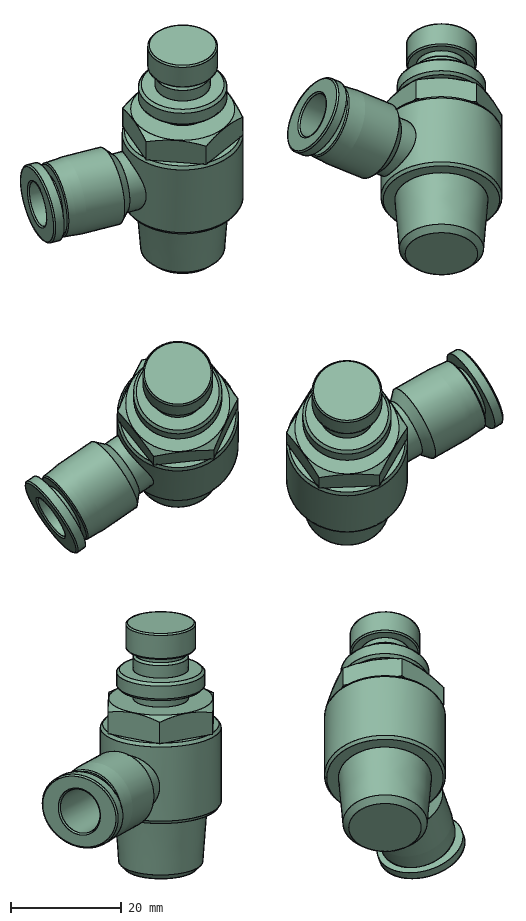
import cadquery as cq

OVERALL_HEIGHT = 47.0
BODY_BOTTOM = 12.05
BODY_TOP = 27.5
HEX_TOP = 32.5
NUT_BOTTOM = 34.6
NUT_TOP = 38.05
SHANK_TOP = 40.9
KNOB_BOTTOM = 42.0

TAPER_TIP_RADIUS = 6.6
TAPER_SMALL_RADIUS = 7.65
TAPER_LARGE_RADIUS = 8.45
TAPER_TIP_HEIGHT = 1.15

BODY_RADIUS = 11.0
BODY_EDGE_HEIGHT = 0.6
BODY_EDGE_DEPTH = 0.4
HEX_CORNER_DIAMETER = 2 * BODY_RADIUS
HEX_TOP_RADIUS = 9.45
HEX_CORNER_DROP = 0.85

SHANK_RADIUS = 5.05
SCREW_NECK_RADIUS = 4.6
NUT_RADIUS = 8.05
NUT_CHAMFER = 0.5
KNOB_RADIUS = 6.35
KNOB_CHAMFER = 0.3
SHANK_CHAMFER = SHANK_RADIUS - SCREW_NECK_RADIUS

PORT_AXIS_HEIGHT = 19.2
PORT_NECK_RADIUS = 5.5
PORT_NECK_END = 12.75
PORT_RADIUS = 7.25
PORT_SHOULDER_END = PORT_NECK_END + PORT_RADIUS - PORT_NECK_RADIUS
PORT_STRAIGHT_END = 21.95
PORT_TAPER_END = 24.0
PORT_TAPER_RADIUS = 7.05
PORT_RIM_RADIUS = 6.95
PORT_END = 25.6
PORT_CHAMFER = 0.25

COLLAR_NECK_RADIUS = 4.9
FLANGE_START = 26.75
FLANGE_END = 28.7
FLANGE_HALF_WIDTH = 8.05
FLANGE_HALF_HEIGHT = 6.95
FLANGE_CHAMFER = 0.3
BORE_RADIUS = 4.2
BORE_CHAMFER = 0.3
BORE_BOTTOM = PORT_SHOULDER_END


def revolved(profile):
    """Revolve (radius, height) points, closed along the axis, about Z."""
    points = [(0, profile[0][1]), *profile, (0, profile[-1][1])]
    return cq.Workplane("XZ").polyline(points).close().revolve(360, (0, 0), (0, 1))


def chamfered_disc(radius, bottom, top, edge_depth, edge_height):
    """Vertical disc with both rims bevelled."""
    return revolved([
        (radius - edge_depth, bottom),
        (radius, bottom + edge_height),
        (radius, top - edge_height),
        (radius - edge_depth, top),
    ])


def turned_to_port(upright):
    """Turn a shape built along Z onto the port axis, pointing along -Y."""
    return upright.rotate((0, 0, 0), (1, 0, 0), 90).translate((0, 0, PORT_AXIS_HEIGHT))


def make_taper():
    return revolved([
        (TAPER_TIP_RADIUS, 0),
        (TAPER_SMALL_RADIUS, TAPER_TIP_HEIGHT),
        (TAPER_LARGE_RADIUS, BODY_BOTTOM),
    ])


def make_hexagon():
    prism = (
        cq.Workplane("XY", origin=(0, 0, BODY_TOP))
        .polygon(6, HEX_CORNER_DIAMETER)
        .extrude(HEX_TOP - BODY_TOP)
    )
    corner_cone = revolved([
        (BODY_RADIUS, BODY_TOP),
        (BODY_RADIUS, HEX_TOP - HEX_CORNER_DROP),
        (HEX_TOP_RADIUS, HEX_TOP),
    ])
    return prism.intersect(corner_cone)


def make_screw():
    shank = revolved([
        (SHANK_RADIUS, HEX_TOP),
        (SHANK_RADIUS, SHANK_TOP - SHANK_CHAMFER),
        (SCREW_NECK_RADIUS, SHANK_TOP),
        (SCREW_NECK_RADIUS, KNOB_BOTTOM),
    ])
    nut = chamfered_disc(NUT_RADIUS, NUT_BOTTOM, NUT_TOP, NUT_CHAMFER, NUT_CHAMFER)
    knob = chamfered_disc(KNOB_RADIUS, KNOB_BOTTOM, OVERALL_HEIGHT, KNOB_CHAMFER, KNOB_CHAMFER)
    return shank.union(nut).union(knob)


def make_port():
    upright = revolved([
        (PORT_NECK_RADIUS, 0),
        (PORT_NECK_RADIUS, PORT_NECK_END),
        (PORT_RADIUS, PORT_SHOULDER_END),
        (PORT_RADIUS, PORT_STRAIGHT_END),
        (PORT_TAPER_RADIUS, PORT_TAPER_END),
        (PORT_RIM_RADIUS, PORT_END - PORT_CHAMFER),
        (PORT_RIM_RADIUS - PORT_CHAMFER, PORT_END),
        (COLLAR_NECK_RADIUS, PORT_END),
        (COLLAR_NECK_RADIUS, FLANGE_START),
    ])
    return turned_to_port(upright)


def make_flange():
    upright = (
        cq.Workplane("XY", origin=(0, 0, FLANGE_START))
        .ellipse(FLANGE_HALF_WIDTH, FLANGE_HALF_HEIGHT)
        .extrude(FLANGE_END - FLANGE_START)
        .faces(">Z").chamfer(FLANGE_CHAMFER)
    )
    return turned_to_port(upright)


def make_bore():
    upright = revolved([
        (BORE_RADIUS, BORE_BOTTOM),
        (BORE_RADIUS, FLANGE_END - BORE_CHAMFER),
        (BORE_RADIUS + BORE_CHAMFER, FLANGE_END),
    ])
    return turned_to_port(upright)


body = chamfered_disc(BODY_RADIUS, BODY_BOTTOM, BODY_TOP, BODY_EDGE_DEPTH, BODY_EDGE_HEIGHT)
result = (
    body.union(make_taper())
    .union(make_hexagon())
    .union(make_screw())
    .union(make_port())
    .union(make_flange())
    .cut(make_bore())
)